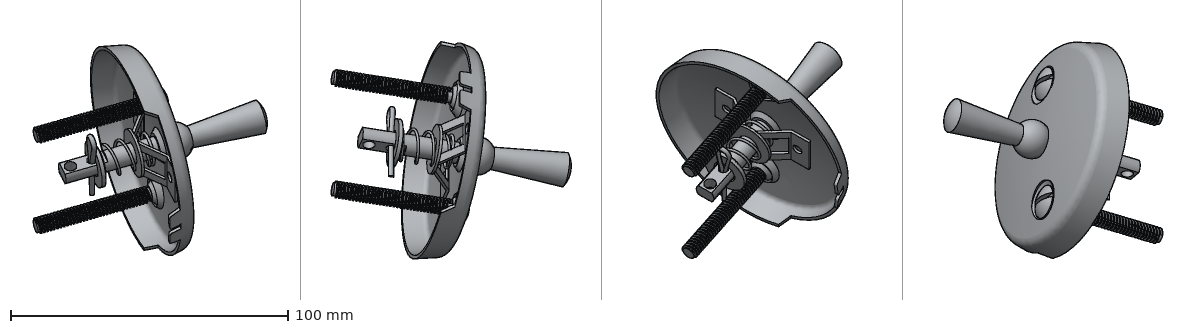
import cadquery as cq
import math


RIM_RADIUS = 40.3
INNER_RIM_RADIUS = 39.0
SIDE_TAPER = math.tan(math.radians(12))
CROWN_TOP = 13.7
CROWN_THICKNESS = 2.0
CROWN_RADIUS = 229.2
OUTER_CORNER_RADIUS = 3.55
INNER_CORNER_RADIUS = 2.0
INNER_CROWN_TOP = CROWN_TOP - CROWN_THICKNESS

STEP_START = 13.9
STEP_RUN = 2.2
STEP_HEIGHT = 4.6
TAB_BASE_HALF_WIDTH = 8.2
TAB_TIP_HALF_WIDTH = 7.1
TAB_GAP = 2.4
TAB_CORNER_RADIUS = 1.0

BOSS_TIP_RADIUS = 5.15
BOSS_HEIGHT = 1.8
BOSS_ROOT = 0.9

SCREW_OFFSET = 24.6
HEAD_RADIUS = 6.2
HEAD_UNDERSIDE = 10.7
HEAD_RIM = 11.9
HEAD_TOP = 14.2
SLOT_WIDTH = 1.7
SLOT_FLOOR = 11.7
SCREW_END = -36.6
THREAD_RADIUS = 3.065
THREAD_ROOT_RADIUS = 2.44
THREAD_PITCH = 1.275
THREAD_CREST_WIDTH = 0.35
THREAD_BASE_WIDTH = 0.9
SEAT_MOUTH_RADIUS = 7.9

GRIP_TOP = 52.2
GRIP_EDGE = 50.2
GRIP_TOP_RADIUS = 6.3
GRIP_NECK_RADIUS = 4.1
BALL_RADIUS = 7.1
BALL_CENTER = 17.0
SHAFT_RADIUS = 3.9
SHAFT_END = -26.3
FLAT_START = -9.8
FLAT_THICKNESS = 5.2
END_HOLE_RADIUS = 2.2
END_HOLE_Y = -23.1
PIN_HOLE_RADIUS = 1.8

SHEET = 1.1
PLATE_FRONT = 9.2
PLATE_END = 20.8
BEND_X = 12.8
ARM_FOOT_X = 3.4
HUB_FRONT = 1.0
HUB_RADIUS = 9.1
HUB_HOLE_RADIUS = 4.1
BRACKET_HALF_WIDTH = 8.2
WINDOW_HALF_WIDTH = 4.6
WINDOW_END_X = 12.2
PLATE_HOLE_X = 15.6
PLATE_HOLE_RADIUS = 1.95

WASHER_TOP = -12.7
WASHER_THICKNESS = 1.5
WASHER_RADIUS = 8.8
WASHER_HOLE_RADIUS = 4.5

WIRE_RADIUS = 0.49
END_COIL_WIRE_RADIUS = 0.5
COIL_RADIUS = 5.91
SPRING_TOP = 6.8
SPRING_PITCH = 5.82
SPRING_START_ANGLE = -107.0
SPRING_BOTTOM = WASHER_TOP + END_COIL_WIRE_RADIUS

PIN_Y = -14.88
PIN_WIRE_RADIUS = 1.0
PIN_HALF_GAP = 0.2
PIN_LOOP_RADIUS = 2.4
PIN_LOOP_Z = 11.77
PIN_LONG_LEG_END = -15.4
PIN_SHORT_LEG_END = -10.5


def turned(sketch):
    """Revolve a closed outline drawn in the XY plane about the Y axis."""
    return sketch.close().revolve(360, (0, 0), (0, 1))


def disc(radius, y_low, y_high, x=0, z=0):
    """Cylinder along Y between two heights."""
    return cq.Workplane("XZ", origin=(x, y_low, z)).circle(radius).extrude(y_low - y_high)


def cross_hole(radius, y):
    """Cylinder along Z that passes right through the shaft."""
    return cq.Workplane("XY").center(0, y).circle(radius).extrude(SHAFT_RADIUS * 2, both=True)


def along_y(part):
    """Turn a part made along +Z so that it runs along -Y, keeping its X axis."""
    return part.rotate((0, 0, 0), (1, 0, 0), 90)


def dome(rim_radius, top, corner_radius):
    """Solid bounded by the tapered side, the spherical crown and the rounded corner between them."""
    sphere_y = top - CROWN_RADIUS
    a = 1 + SIDE_TAPER**2
    half_b = -(rim_radius * SIDE_TAPER + sphere_y)
    c = rim_radius**2 + sphere_y**2 - CROWN_RADIUS**2
    corner_y = (-half_b + math.sqrt(half_b**2 - a * c)) / a
    corner_r = rim_radius - SIDE_TAPER * corner_y
    half_angle = math.asin(corner_r / CROWN_RADIUS) / 2
    middle = (CROWN_RADIUS * math.sin(half_angle), sphere_y + CROWN_RADIUS * math.cos(half_angle))
    outline = (
        cq.Workplane("XY")
        .lineTo(rim_radius, 0)
        .lineTo(corner_r, corner_y)
        .threePointArc(middle, (0, top))
    )
    edge = cq.selectors.BoxSelector((-53.3, corner_y - 0.1, -53.3), (53.3, corner_y + 0.1, 53.3), boundingbox=True)
    return turned(outline).edges(edge).fillet(corner_radius)


def crown_drop(radius):
    """How far the crown has fallen below its apex at a distance from the axis."""
    return CROWN_RADIUS - math.sqrt(CROWN_RADIUS**2 - radius**2)


def boss(surface_y):
    """Conical boss with its root buried in the crown, whose inner surface is at surface_y."""
    tip_y = surface_y - BOSS_HEIGHT
    root_y = surface_y + BOSS_ROOT
    root_radius = BOSS_TIP_RADIUS + root_y - tip_y
    return turned(
        cq.Workplane("XY")
        .moveTo(0, tip_y)
        .lineTo(BOSS_TIP_RADIUS, tip_y)
        .lineTo(root_radius, root_y)
        .lineTo(0, root_y)
    )


def screw_seat(tip_y, mouth_y):
    """Countersunk opening: flared at the boss tip, conical below the head, wide at the mouth."""
    cone_offset = HEAD_RADIUS - HEAD_UNDERSIDE
    flare_y = (BOSS_TIP_RADIUS + tip_y - cone_offset) / 2
    above = CROWN_TOP
    return turned(
        cq.Workplane("XY")
        .moveTo(0, tip_y)
        .lineTo(BOSS_TIP_RADIUS, tip_y)
        .lineTo(flare_y + cone_offset, flare_y)
        .lineTo(HEAD_RADIUS, HEAD_UNDERSIDE)
        .lineTo(HEAD_RADIUS, HEAD_RIM - SHEET / 2)
        .lineTo(SEAT_MOUTH_RADIUS, mouth_y)
        .lineTo(SEAT_MOUTH_RADIUS, above)
        .lineTo(0, above)
    )


def rim_step():
    """Material removed from the +X side of the rim, leaving the two tabs."""
    reach = RIM_RADIUS + 4.4
    step = (
        cq.Workplane("XY")
        .moveTo(STEP_START, 0)
        .lineTo(STEP_START + STEP_RUN, STEP_HEIGHT)
        .lineTo(reach, STEP_HEIGHT)
        .lineTo(reach, 0)
        .close()
        .extrude(reach, both=True)
    )
    for side in (1, -1):
        tab = (
            cq.Workplane("ZY")
            .moveTo(side * TAB_GAP / 2, 0)
            .lineTo(side * TAB_TIP_HALF_WIDTH, 0)
            .lineTo(side * TAB_BASE_HALF_WIDTH, STEP_HEIGHT)
            .lineTo(side * TAB_GAP / 2, STEP_HEIGHT)
            .close()
            .extrude(-reach)
            .edges("|X and <Y")
            .fillet(TAB_CORNER_RADIUS)
            .intersect(cq.Workplane("XY").box(reach, reach, reach).translate((reach, 0, 0)))
        )
        step = step.cut(tab)
    return step


def make_cover():
    cover = dome(RIM_RADIUS, CROWN_TOP, OUTER_CORNER_RADIUS)
    cover = cover.cut(dome(INNER_RIM_RADIUS, INNER_CROWN_TOP, INNER_CORNER_RADIUS))
    cover = cover.cut(rim_step())

    cover = cover.union(boss(INNER_CROWN_TOP))
    cover = cover.cut(ball()).cut(disc(SHAFT_RADIUS, 0, BALL_CENTER))

    drop = crown_drop(SCREW_OFFSET)
    inner_y = INNER_CROWN_TOP - drop
    for side in (1, -1):
        place = (0, 0, side * SCREW_OFFSET)
        cover = cover.union(boss(inner_y).translate(place))
        cover = cover.cut(screw_seat(inner_y - BOSS_HEIGHT, CROWN_TOP - drop).translate(place))
    return cover


def ball():
    return cq.Workplane("XY").sphere(BALL_RADIUS).translate((0, BALL_CENTER, 0))


def make_handle():
    grip_foot = BALL_CENTER + math.sqrt(BALL_RADIUS**2 - GRIP_NECK_RADIUS**2)
    cap_rise = GRIP_TOP - GRIP_EDGE
    cap_radius = (GRIP_TOP_RADIUS**2 + cap_rise**2) / (2 * cap_rise)
    half_angle = math.asin(GRIP_TOP_RADIUS / cap_radius) / 2
    cap_middle = (
        cap_radius * math.sin(half_angle),
        GRIP_TOP - cap_radius * (1 - math.cos(half_angle)),
    )
    grip = turned(
        cq.Workplane("XY")
        .moveTo(0, BALL_CENTER)
        .lineTo(GRIP_NECK_RADIUS, BALL_CENTER)
        .lineTo(GRIP_NECK_RADIUS, grip_foot)
        .lineTo(GRIP_TOP_RADIUS, GRIP_EDGE)
        .threePointArc(cap_middle, (0, GRIP_TOP))
    )
    shaft = disc(SHAFT_RADIUS, SHAFT_END, BALL_CENTER)
    flat_length = FLAT_START - SHAFT_END
    for side in (1, -1):
        waste = cq.Workplane("XY").box(4 * SHAFT_RADIUS, flat_length, SHAFT_RADIUS)
        waste_z = side * (FLAT_THICKNESS + SHAFT_RADIUS) / 2
        shaft = shaft.cut(waste.translate((0, SHAFT_END + flat_length / 2, waste_z)))
    shaft = shaft.cut(cross_hole(PIN_HOLE_RADIUS, PIN_Y))
    shaft = shaft.cut(cross_hole(END_HOLE_RADIUS, END_HOLE_Y))
    return grip.union(ball()).union(shaft)


def thread_ridge(length):
    """Helical ridge of trapezoid section, starting at Y = 0 and running along -Y."""
    sunk_radius = THREAD_ROOT_RADIUS - 0.1
    helix = cq.Wire.makeHelix(THREAD_PITCH, length, THREAD_ROOT_RADIUS)
    ridge = (
        cq.Workplane("XZ")
        .moveTo(sunk_radius, -THREAD_BASE_WIDTH / 2)
        .lineTo(THREAD_RADIUS, -THREAD_CREST_WIDTH / 2)
        .lineTo(THREAD_RADIUS, THREAD_CREST_WIDTH / 2)
        .lineTo(sunk_radius, THREAD_BASE_WIDTH / 2)
        .close()
        .sweep(cq.Workplane(helix), isFrenet=True)
    )
    return along_y(ridge)


def make_screw():
    """Countersunk slotted screw on the Y axis."""
    neck_y = HEAD_UNDERSIDE - (HEAD_RADIUS - THREAD_RADIUS)
    dome_rise = HEAD_TOP - HEAD_RIM
    dome_radius = (HEAD_RADIUS**2 + dome_rise**2) / (2 * dome_rise)
    half_angle = math.asin(HEAD_RADIUS / dome_radius) / 2
    dome_middle = (
        dome_radius * math.sin(half_angle),
        HEAD_TOP - dome_radius * (1 - math.cos(half_angle)),
    )
    blank = turned(
        cq.Workplane("XY")
        .moveTo(0, SCREW_END)
        .lineTo(THREAD_ROOT_RADIUS, SCREW_END)
        .lineTo(THREAD_ROOT_RADIUS, neck_y)
        .lineTo(THREAD_RADIUS, neck_y)
        .lineTo(HEAD_RADIUS, HEAD_UNDERSIDE)
        .lineTo(HEAD_RADIUS, HEAD_RIM)
        .threePointArc(dome_middle, (0, HEAD_TOP))
    )
    slot_depth = HEAD_TOP - SLOT_FLOOR
    slot = cq.Workplane("XY").box(2 * HEAD_RADIUS, slot_depth, SLOT_WIDTH)
    blank = blank.cut(slot.translate((0, SLOT_FLOOR + slot_depth / 2, 0)))

    thread_start = neck_y - THREAD_BASE_WIDTH
    thread_end = SCREW_END + THREAD_BASE_WIDTH / 2
    ridge = thread_ridge(thread_start - thread_end)
    return blank.union(ridge.translate((0, thread_start, 0)))


def make_spring():
    """Helical spring with a closed coil at each end."""
    length = SPRING_TOP - SPRING_BOTTOM
    helix = cq.Wire.makeHelix(SPRING_PITCH, length, COIL_RADIUS)
    coils = cq.Workplane("XZ").center(COIL_RADIUS, 0).circle(WIRE_RADIUS)
    coils = coils.sweep(cq.Workplane(helix), isFrenet=True)
    coils = along_y(coils.rotate((0, 0, 0), (0, 0, 1), SPRING_START_ANGLE))
    spring = coils.translate((0, SPRING_TOP, 0))
    for y in (SPRING_TOP, SPRING_BOTTOM):
        end_coil = cq.Solid.makeTorus(COIL_RADIUS, END_COIL_WIRE_RADIUS, cq.Vector(0, y, 0), cq.Vector(0, 1, 0))
        spring = spring.union(cq.Workplane(end_coil))
    return spring


def make_arm():
    """One bent arm of the bracket, on the +X side."""
    hub_back = HUB_FRONT + SHEET
    slope = math.atan2(PLATE_FRONT - hub_back, BEND_X - ARM_FOOT_X)
    normal = (-math.sin(slope), math.cos(slope))
    back_bend_x = BEND_X - SHEET * math.tan(slope / 2)
    arm = (
        cq.Workplane("XY")
        .moveTo(ARM_FOOT_X, hub_back)
        .lineTo(BEND_X, PLATE_FRONT)
        .lineTo(PLATE_END, PLATE_FRONT)
        .lineTo(PLATE_END, PLATE_FRONT + SHEET)
        .lineTo(back_bend_x, PLATE_FRONT + SHEET)
        .lineTo(ARM_FOOT_X - SHEET / math.sin(slope), hub_back)
        .close()
        .extrude(BRACKET_HALF_WIDTH, both=True)
    )
    wall_y = PLATE_FRONT - (BEND_X - WINDOW_END_X) * math.tan(slope)
    margin = 2 * SHEET
    window = (
        cq.Workplane("XY")
        .moveTo(WINDOW_END_X - margin * normal[0], wall_y - margin * normal[1])
        .lineTo(WINDOW_END_X + margin * normal[0], wall_y + margin * normal[1])
        .lineTo(0, PLATE_FRONT)
        .lineTo(0, 0)
        .close()
        .extrude(WINDOW_HALF_WIDTH, both=True)
    )
    plate_hole = disc(PLATE_HOLE_RADIUS, PLATE_FRONT, PLATE_FRONT + SHEET, x=PLATE_HOLE_X)
    return arm.cut(window).cut(plate_hole)


def make_bracket(spring):
    """Two arms and the hub, notched where the spring winds through them."""
    arm = make_arm()
    bracket = disc(HUB_RADIUS, HUB_FRONT, HUB_FRONT + SHEET).union(arm).union(arm.mirror("YZ"))
    bracket = bracket.cut(disc(HUB_HOLE_RADIUS, HUB_FRONT, HUB_FRONT + SHEET))
    return bracket.cut(spring)


def make_split_pin():
    """Half-round wire swept up the long leg, around the loop and down the short leg."""
    reach = math.hypot(PIN_HALF_GAP, PIN_LOOP_Z)
    slant = math.asin(PIN_LOOP_RADIUS / reach) - math.asin(PIN_HALF_GAP / reach)
    tangent_x = PIN_LOOP_RADIUS * math.cos(slant)
    tangent_z = PIN_LOOP_Z - PIN_LOOP_RADIUS * math.sin(slant)
    path = (
        cq.Workplane("XZ", origin=(0, PIN_Y, 0))
        .moveTo(PIN_HALF_GAP, PIN_LONG_LEG_END)
        .lineTo(PIN_HALF_GAP, 0)
        .lineTo(tangent_x, tangent_z)
        .threePointArc((0, PIN_LOOP_Z + PIN_LOOP_RADIUS), (-tangent_x, tangent_z))
        .lineTo(-PIN_HALF_GAP, 0)
        .lineTo(-PIN_HALF_GAP, PIN_SHORT_LEG_END)
    )
    section = (
        cq.Workplane("XY", origin=(PIN_HALF_GAP, PIN_Y, PIN_LONG_LEG_END))
        .moveTo(0, -PIN_WIRE_RADIUS)
        .threePointArc((PIN_WIRE_RADIUS, 0), (0, PIN_WIRE_RADIUS))
        .close()
    )
    return section.sweep(path, transition="right")


def make_washer(split_pin):
    """Washer with grooves in its outer face where the split pin lies."""
    low = WASHER_TOP - WASHER_THICKNESS
    washer = disc(WASHER_RADIUS, low, WASHER_TOP).cut(disc(WASHER_HOLE_RADIUS, low, WASHER_TOP))
    return washer.cut(split_pin)


cover = make_cover()
handle = make_handle()
spring = make_spring()
bracket = make_bracket(spring)
split_pin = make_split_pin()
washer = make_washer(split_pin)
screw = make_screw()
screws = [screw.translate((0, 0, side * SCREW_OFFSET)).val() for side in (1, -1)]

result = cq.Compound.makeCompound(
    [cover.val(), handle.val(), *screws, bracket.val(), spring.val(), washer.val(), split_pin.val()]
)